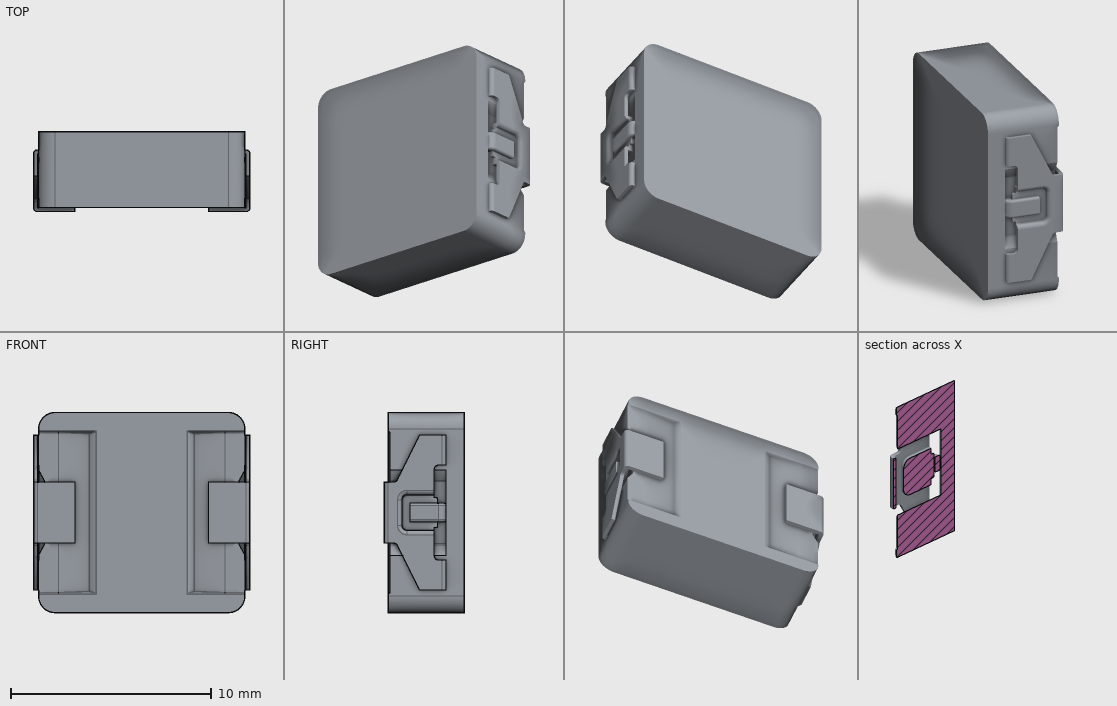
import cadquery as cq
BODY_WIDTH = 10.3
BODY_HEIGHT = 10.0
BODY_CORNER_RADIUS = 0.83
BACK_Y = 2.0
MOUNT_Y = -1.8

POCKET_INNER_X = -2.27
POCKET_FLOOR_INNER_X = -2.61
POCKET_FLOOR_BREAK_X = -4.15
POCKET_OUTER_DEPTH = 0.08
POCKET_INNER_DEPTH = 0.18
POCKET_HALF_HEIGHT = 4.055
POCKET_WALL_SLOPE = 0.6
POCKET_RIM_RADIUS = 0.07
POCKET_FLOOR_RADIUS = 0.04

RECESS_DEPTH = 0.3
RECESS_MOUTH_HALF_HEIGHT = 2.13
RECESS_FLOOR_HALF_HEIGHT = 1.58
RECESS_EDGE_RADIUS = 0.15

SHEET = 0.2
TERMINAL_HALF_SPAN = 5.4
TERMINAL_TOP_Y = 1.09
WING_HALF_HEIGHT = 3.87
WING_SHOULDER_Y = -0.23
TAB_HALF_HEIGHT = 1.525
TAB_START_Y = -1.4
TAB_END_X = -3.34
TAB_ROOT_RADIUS = 0.2
NOTCH_HALF_HEIGHT = 2.37
NOTCH_Y = 0.495
NOTCH_CORNER_RADIUS = 0.22

PAD_OFFSET = 0.27
PAD_HALF_HEIGHT = 0.89
PAD_END_Y = -1.11
PAD_CORNER_RADIUS = 0.25
PAD_RIM_RADIUS = 0.22
PAD_FLOOR_RADIUS = 0.045
PAD_LIP_Y = 0.67
PAD_LIP_HALF_HEIGHT = 0.745
PAD_LIP_CORNER = 0.08

WIRE_THICKNESS = 0.22
WIRE_HALF_HEIGHT = 0.47
WIRE_END_Y = -0.7
WIRE_BEND_RADIUS = 0.38
WIRE_EDGE_RADIUS = 0.12

EMBED = 0.3
RIM_MARGIN = 0.01
CLEARANCE = 1.0

BODY_X = -BODY_WIDTH / 2
RECESS_FLOOR_X = BODY_X + RECESS_DEPTH
OUTER_X = -TERMINAL_HALF_SPAN
PLATE_INNER_X = OUTER_X + SHEET
PAD_X = OUTER_X + PAD_OFFSET
TAB_OUTER_Y = MOUNT_Y - SHEET


def block(x0, x1, y0, y1, half_height):
    """Box between two X and two Y limits, centred on Z = 0."""
    return (
        cq.Workplane("XY")
        .box(x1 - x0, y1 - y0, 2 * half_height, centered=(False, False, True))
        .translate((x0, y0, 0))
    )


def prism_along_x(points, x0, x1):
    """Extrude a (y, z) outline from x0 to x1."""
    return cq.Workplane("YZ").polyline(points).close().extrude(x1 - x0).translate((x0, 0, 0))


def prism_along_z(points, half_height):
    """Extrude an (x, y) outline symmetrically about Z = 0."""
    return cq.Workplane("XY").polyline(points).close().extrude(half_height, both=True)


def pocket_walls(x0, x1):
    """Prism along X bounded by the two drafted end walls of the pocket."""
    deep_half_height = POCKET_HALF_HEIGHT - POCKET_WALL_SLOPE * POCKET_INNER_DEPTH
    deep_y = MOUNT_Y + POCKET_INNER_DEPTH
    return prism_along_x(
        [
            (MOUNT_Y, -POCKET_HALF_HEIGHT),
            (deep_y, -deep_half_height),
            (deep_y, deep_half_height),
            (MOUNT_Y, POCKET_HALF_HEIGHT),
        ],
        x0,
        x1,
    )


def make_pocket():
    """Pocket tool: a level outer part and an inner part that deepens towards the middle."""
    level_x = BODY_X - CLEARANCE
    level_y = MOUNT_Y + POCKET_OUTER_DEPTH
    level_part = block(level_x, POCKET_FLOOR_BREAK_X, MOUNT_Y, level_y, POCKET_HALF_HEIGHT)
    level_part = level_part.intersect(pocket_walls(level_x, POCKET_FLOOR_BREAK_X))
    level_part = level_part.edges("|X and >Y").fillet(POCKET_FLOOR_RADIUS)

    sloped_part = prism_along_z(
        [
            (POCKET_FLOOR_BREAK_X, MOUNT_Y),
            (POCKET_FLOOR_BREAK_X, level_y),
            (POCKET_FLOOR_INNER_X, MOUNT_Y + POCKET_INNER_DEPTH),
            (POCKET_INNER_X, MOUNT_Y),
        ],
        POCKET_HALF_HEIGHT,
    )
    sloped_part = sloped_part.intersect(pocket_walls(POCKET_FLOOR_BREAK_X, POCKET_INNER_X))
    sloped_part = sloped_part.edges("not (<X or <Y)").fillet(POCKET_FLOOR_RADIUS)
    return level_part.union(sloped_part)


def make_recess():
    """Recess tool for the end face, with eased edges at the floor."""
    return (
        cq.Workplane("XZ", origin=(0, TERMINAL_TOP_Y, 0))
        .polyline(
            [
                (BODY_X, -RECESS_MOUTH_HALF_HEIGHT),
                (RECESS_FLOOR_X, -RECESS_FLOOR_HALF_HEIGHT),
                (RECESS_FLOOR_X, RECESS_FLOOR_HALF_HEIGHT),
                (BODY_X, RECESS_MOUTH_HALF_HEIGHT),
            ]
        )
        .close()
        .extrude(TERMINAL_TOP_Y - MOUNT_Y)
        .edges("|Y and >X")
        .fillet(RECESS_EDGE_RADIUS)
    )


def pocket_rim(side):
    """Selector for the three rim edges of the pocket at the -X (-1) or +X (1) end."""
    half_height = POCKET_HALF_HEIGHT + RIM_MARGIN
    return cq.selectors.BoxSelector(
        (-side * (BODY_X + RIM_MARGIN), MOUNT_Y - RIM_MARGIN, -half_height),
        (-side * (POCKET_INNER_X + RIM_MARGIN), MOUNT_Y + RIM_MARGIN, half_height),
    )


def make_body():
    body = block(BODY_X, -BODY_X, MOUNT_Y, BACK_Y, BODY_HEIGHT / 2)
    body = body.edges("|Y").fillet(BODY_CORNER_RADIUS)
    pocket = make_pocket()
    body = body.cut(pocket).cut(pocket.mirror("YZ"))
    body = body.edges(pocket_rim(-1)).fillet(POCKET_RIM_RADIUS)
    body = body.edges(pocket_rim(1)).fillet(POCKET_RIM_RADIUS)
    recess = make_recess()
    return body.cut(recess).cut(recess.mirror("YZ"))


def make_plate_outline():
    """Upright terminal face: two wings narrowing to the tab, notched at the top."""
    upper = [
        (TERMINAL_TOP_Y, NOTCH_HALF_HEIGHT),
        (TERMINAL_TOP_Y, WING_HALF_HEIGHT),
        (WING_SHOULDER_Y, WING_HALF_HEIGHT),
        (TAB_START_Y, TAB_HALF_HEIGHT),
        (TAB_OUTER_Y, TAB_HALF_HEIGHT),
    ]
    lower = [(y, -z) for y, z in reversed(upper)]
    notch = [(NOTCH_Y, -NOTCH_HALF_HEIGHT), (NOTCH_Y, NOTCH_HALF_HEIGHT)]
    outline = prism_along_x(upper + lower + notch, OUTER_X, TAB_END_X)
    for side in (-1, 1):
        root = cq.NearestToPointSelector((OUTER_X, TAB_START_Y, side * TAB_HALF_HEIGHT))
        corner = cq.NearestToPointSelector((OUTER_X, NOTCH_Y, side * NOTCH_HALF_HEIGHT))
        outline = outline.edges("|X").edges(root).fillet(TAB_ROOT_RADIUS)
        outline = outline.edges("|X").edges(corner).fillet(NOTCH_CORNER_RADIUS)
    return outline


def make_bent_sheet():
    """Terminal cross-section: leg into the body, upright face and mounting tab."""
    section = prism_along_z(
        [
            (BODY_X + EMBED, TERMINAL_TOP_Y),
            (OUTER_X, TERMINAL_TOP_Y),
            (OUTER_X, TAB_OUTER_Y),
            (TAB_END_X, TAB_OUTER_Y),
            (TAB_END_X, MOUNT_Y),
            (PLATE_INNER_X, MOUNT_Y),
            (PLATE_INNER_X, TERMINAL_TOP_Y - SHEET),
            (BODY_X + EMBED, TERMINAL_TOP_Y - SHEET),
        ],
        WING_HALF_HEIGHT,
    )
    return section.edges("|Z and <X").fillet(SHEET)


def make_terminal():
    terminal = make_bent_sheet().intersect(make_plate_outline())

    rim_half_height = PAD_HALF_HEIGHT + PAD_RIM_RADIUS
    rim_end_y = PAD_END_Y - PAD_RIM_RADIUS
    backing = block(PLATE_INNER_X, PAD_X + SHEET, rim_end_y, NOTCH_Y, rim_half_height)
    backing = backing.edges("|X and <Y").fillet(PAD_CORNER_RADIUS + PAD_RIM_RADIUS)
    terminal = terminal.union(backing)

    hollow = block(OUTER_X, PAD_X, PAD_END_Y, NOTCH_Y + CLEARANCE, PAD_HALF_HEIGHT)
    hollow = hollow.edges("|X and <Y").fillet(PAD_CORNER_RADIUS)
    hollow = hollow.faces(">X").edges("not >Y").fillet(PAD_FLOOR_RADIUS)
    terminal = terminal.cut(hollow)
    rim_start = cq.NearestToPointSelector((OUTER_X, PAD_END_Y, 0))
    terminal = terminal.edges(rim_start).fillet(PAD_RIM_RADIUS)

    lip = block(PAD_X, PAD_X + SHEET, PAD_END_Y, PAD_LIP_Y, PAD_LIP_HALF_HEIGHT)
    return terminal.union(lip.edges("|X and >Y").fillet(PAD_LIP_CORNER))


def make_wire():
    """Wire leaving the body at the top of the recess and bending down over the pad."""
    face_x = PAD_X - WIRE_THICKNESS
    buried_x = RECESS_FLOOR_X + EMBED
    wire = prism_along_z(
        [
            (buried_x, TERMINAL_TOP_Y),
            (face_x, TERMINAL_TOP_Y),
            (face_x, WIRE_END_Y),
            (PAD_X, WIRE_END_Y),
            (PAD_X, TERMINAL_TOP_Y - WIRE_BEND_RADIUS),
            (buried_x, TERMINAL_TOP_Y - WIRE_BEND_RADIUS),
        ],
        WIRE_HALF_HEIGHT,
    )
    wire = wire.edges("|Z and <X and >Y").fillet(WIRE_BEND_RADIUS)
    for side in (-1, 1):
        edge = cq.NearestToPointSelector((face_x, 0, side * WIRE_HALF_HEIGHT))
        wire = wire.edges(edge).fillet(WIRE_EDGE_RADIUS)
    return wire


end_metal = make_terminal().union(make_wire())
result = make_body().union(end_metal).union(end_metal.mirror("YZ")).solids()